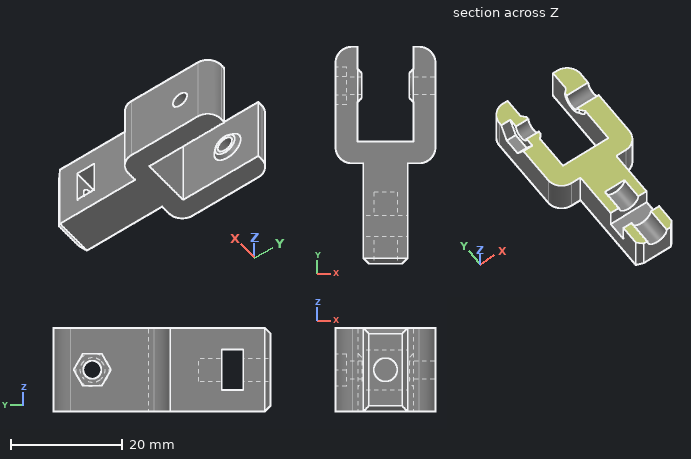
import cadquery as cq
import math

length = 39.0
fork_width = 18.0
height = 15.0

arm_thickness = 4.0
fork_length = 21.0
slot_depth = 17.0
corner_radius = 3.0

stem_width = 8.0
end_chamfer = 1.0

pivot_inset = 7.0
pivot_diameter = 3.2
boss_base_diameter = 6.0
boss_tip_diameter = 4.45
boss_height = 0.75
hex_across_flats = 5.8
hex_depth = 2.0

rod_diameter = 4.2
rod_hole_depth = 13.0
window_start = 4.9
window_length = 3.82
window_height = 7.2

back = length / 2
front = -length / 2
pivot_y = back - pivot_inset
slot_width = fork_width - 2 * arm_thickness


def make_fork():
    """U-shaped fork with all outer vertical corners rounded."""
    body = (
        cq.Workplane("XY")
        .box(fork_width, fork_length, height)
        .edges("|Z")
        .fillet(corner_radius)
        .translate((0, back - fork_length / 2, 0))
    )
    slot = cq.Workplane("XY").box(slot_width, slot_depth, height)
    return body.cut(slot.translate((0, back - slot_depth / 2, 0)))


def make_stem():
    """Rectangular stem with a chamfered free end."""
    stem_length = length - fork_length
    return (
        cq.Workplane("XY")
        .box(stem_width, stem_length, height)
        .faces("<Y")
        .edges()
        .chamfer(end_chamfer)
        .translate((0, front + stem_length / 2, 0))
    )


def make_boss(side):
    """Conical boss on the inner face of the arm at side -1 (-X) or +1 (+X)."""
    return cq.Workplane(
        cq.Solid.makeCone(
            boss_base_diameter / 2,
            boss_tip_diameter / 2,
            boss_height,
            cq.Vector(side * slot_width / 2, pivot_y, 0),
            cq.Vector(-side, 0, 0),
        )
    )


def make_pivot_hole():
    """Cylinder along X through both arms and bosses."""
    return (
        cq.Workplane("YZ", origin=(-fork_width / 2, pivot_y, 0))
        .circle(pivot_diameter / 2)
        .extrude(fork_width)
    )


def make_hex_pocket():
    """Hexagonal nut pocket in the outer face of the -X arm."""
    across_corners = hex_across_flats / math.cos(math.pi / 6)
    return (
        cq.Workplane("YZ", origin=(-fork_width / 2, pivot_y, 0))
        .polygon(6, across_corners)
        .extrude(hex_depth)
    )


def make_rod_hole():
    """Blind hole along the stem axis from its free end."""
    return (
        cq.Workplane("XZ", origin=(0, front, 0))
        .circle(rod_diameter / 2)
        .extrude(-rod_hole_depth)
    )


def make_window():
    """Rectangular nut window across the stem."""
    window = cq.Workplane("XY").box(stem_width, window_length, window_height)
    return window.translate((0, front + window_start + window_length / 2, 0))


result = make_fork().union(make_stem())
for arm_side in (-1, 1):
    result = result.union(make_boss(arm_side))
for cutter in (make_pivot_hole(), make_hex_pocket(), make_rod_hole(), make_window()):
    result = result.cut(cutter)